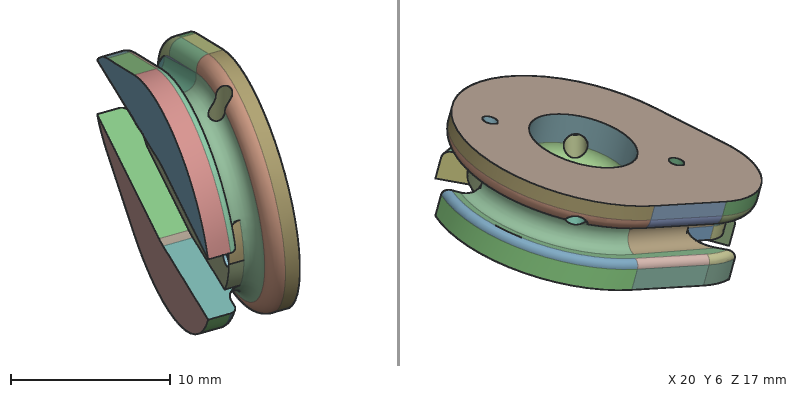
import cadquery as cq
import math

cam_radius = 8.49
nose_radius = 5.0
nose_x = -6.5

groove_radius = 1.0
neck_radius = cam_radius - 2 * groove_radius
neck_nose_radius = 2.0
neck_nose_x = -7.99

flange_thickness = 2.0
groove_mid = flange_thickness + groove_radius
groove_back = flange_thickness + 2 * groove_radius
thickness = groove_back + flange_thickness
front_round = 0.5
back_round = 1.0

slot_half_height = 3.5
slot_slope = 0.1
slot_reach = 13.98

bore_radius = 1.148
pin_radius = 0.5
pin_x = 6.0
cross_radius = 0.749
pocket_radius = 3.5
pocket_depth = 3.0
pocket_round = 1.0


def front_plane(y):
    """Sketch plane at the given Y, with X to the right and Z up; extrusion goes toward -Y."""
    return cq.Workplane("XZ", origin=(0, y, 0))


def cam_outline(y, big, small, small_x):
    """Closed outline of two arcs, centred at X = 0 and X = small_x, and their tangents."""
    sine = (big - small) / -small_x
    cosine = math.sqrt(1 - sine**2)
    return (
        front_plane(y)
        .moveTo(-big * sine, big * cosine)
        .threePointArc((big, 0), (-big * sine, -big * cosine))
        .lineTo(small_x - small * sine, -small * cosine)
        .threePointArc((small_x - small, 0), (small_x - small * sine, small * cosine))
        .close()
    )


def cam_plate(front, back, inset=0):
    """Flat cam plate between two Y positions, inset evenly from the full outline."""
    outline = cam_outline(back, cam_radius - inset, nose_radius - inset, nose_x)
    return outline.extrude(back - front)


def neck_plate(front, back, growth=0):
    """Neck plate between two Y positions, grown evenly from the groove bottom."""
    outline = cam_outline(back, neck_radius + growth, neck_nose_radius + growth, neck_nose_x)
    return outline.extrude(back - front)


def groove_tool():
    """Round bar that follows the neck outline, centred one groove radius outside it."""
    path = cam_outline(
        groove_mid, neck_radius + groove_radius, neck_nose_radius + groove_radius, neck_nose_x
    )
    path_radius = neck_radius + groove_radius
    sine = (neck_radius - neck_nose_radius) / -neck_nose_x
    cosine = math.sqrt(1 - sine**2)
    start = (-path_radius * sine, groove_mid, path_radius * cosine)
    tangent = cq.Vector(cosine, 0, sine)
    section = cq.Workplane(cq.Plane(origin=start, xDir=(0, 1, 0), normal=tangent.toTuple()))
    return section.circle(groove_radius).sweep(path)


def slot_outline(y):
    """Slot bounded by a central arc and straight sides that taper toward both ends."""
    angle = math.atan(slot_slope)
    arc_x = slot_half_height * math.sin(angle)
    arc_z = slot_half_height * math.cos(angle)
    end_z = arc_z - slot_slope * (slot_reach - arc_x)
    return (
        front_plane(y)
        .moveTo(-slot_reach, end_z)
        .lineTo(-arc_x, arc_z)
        .threePointArc((0, slot_half_height), (arc_x, arc_z))
        .lineTo(slot_reach, end_z)
        .lineTo(slot_reach, -end_z)
        .lineTo(arc_x, -arc_z)
        .threePointArc((0, -slot_half_height), (-arc_x, -arc_z))
        .lineTo(-slot_reach, -end_z)
        .close()
    )


front_flange = cam_plate(0, flange_thickness).faces(">Y").edges().fillet(front_round)
back_flange = cam_plate(groove_back, thickness).faces("<Y").edges().fillet(back_round)

web = cam_plate(flange_thickness, groove_back, groove_radius)
web = web.intersect(neck_plate(flange_thickness, groove_back, groove_radius)).cut(groove_tool())
body = front_flange.union(web).union(back_flange)

body = body.cut(slot_outline(flange_thickness).extrude(flange_thickness))
neck_relief = slot_outline(groove_mid).extrude(groove_radius)
body = body.cut(neck_relief.cut(neck_plate(flange_thickness, groove_mid)))

pocket = front_plane(thickness).circle(pocket_radius).extrude(pocket_depth)
body = body.cut(pocket.faces("<Y").edges().fillet(pocket_round))

bore = front_plane(thickness).circle(bore_radius).extrude(thickness)
pins = front_plane(thickness).pushPoints([(-pin_x, 0), (pin_x, 0)]).circle(pin_radius).extrude(thickness)
cross_hole = (
    cq.Workplane("XY")
    .center(0, groove_back)
    .circle(cross_radius)
    .extrude(cam_radius, both=True)
)

result = body.cut(bore).cut(pins).cut(cross_hole)